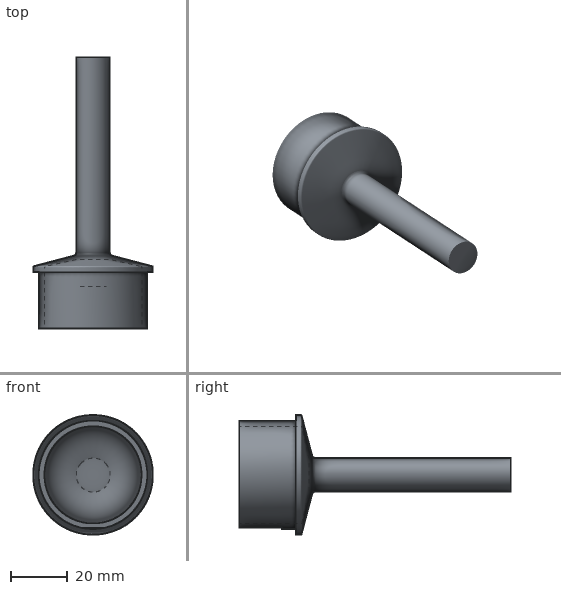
import cadquery as cq


tube_wall = 2.0
bore_radius = 17.2
tube_radius = bore_radius + tube_wall
tube_length = 20.0

flange_overhang = 2.0
flange_radius = tube_radius + flange_overhang
flange_thickness = 2.0
flange_end = tube_length + flange_thickness
cone_height = 4.0
cone_end = flange_end + cone_height

shaft_radius = 6.0
shaft_length = 70.0
total_length = cone_end + shaft_length

bore_depth = flange_end
cavity_cone_height = 2.5
cavity_depth = bore_depth + cavity_cone_height

shaft_fillet = 1.0
rim_fillet = 0.5
bore_fillet = 0.5

flat_depth = 0.55
flat_length = 15.0

select_margin = 0.01


def revolve_profile(points):
    """Revolve a closed (radius, Y) outline about the Y axis."""
    axis_start = (0, 0, 0)
    axis_end = (0, 1, 0)
    return cq.Workplane("XY").polyline(points).close().revolve(360, axis_start, axis_end)


def fillet_circle(body, radius, y, fillet):
    """Round the circular edge of the given radius that lies at Y = y."""
    reach = radius + select_margin
    low_corner = (-reach, y - select_margin, -reach)
    high_corner = (reach, y + select_margin, reach)
    edge = cq.selectors.BoxSelector(low_corner, high_corner, boundingbox=True)
    return body.edges(edge).fillet(fillet)


def make_outside():
    """Solid tube, flange, cone and shaft."""
    body = revolve_profile([
        (0, 0),
        (tube_radius, 0),
        (tube_radius, tube_length),
        (flange_radius, tube_length),
        (flange_radius, flange_end),
        (shaft_radius, cone_end),
        (shaft_radius, total_length),
        (0, total_length),
    ])
    body = fillet_circle(body, shaft_radius, cone_end, shaft_fillet)
    return fillet_circle(body, flange_radius, flange_end, rim_fillet)


def make_cavity():
    """Bore with a conical bottom that ends in a flat disc as wide as the shaft."""
    body = revolve_profile([
        (0, 0),
        (bore_radius, 0),
        (bore_radius, bore_depth),
        (shaft_radius, cavity_depth),
        (0, cavity_depth),
    ])
    return fillet_circle(body, bore_radius, bore_depth, bore_fillet)


def make_flat_cutter():
    """Block that shaves the lowest part of the tube."""
    block = cq.Workplane("XY").box(2 * tube_radius, flat_length, flat_depth, centered=(True, False, False))
    return block.translate((0, 0, -tube_radius))


result = make_outside().cut(make_cavity()).cut(make_flat_cutter())